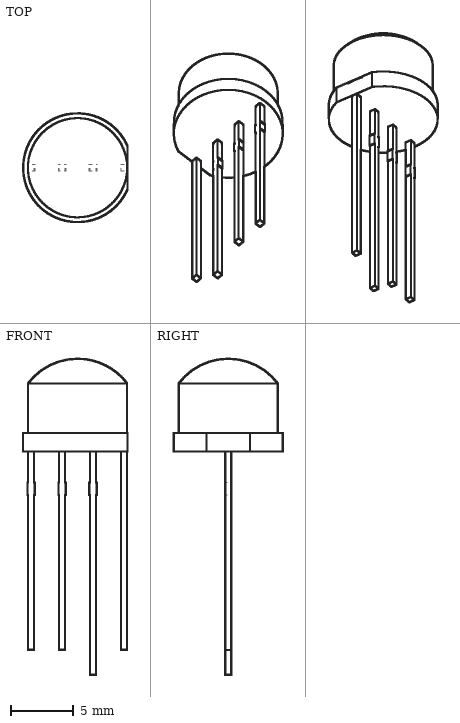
import cadquery as cq

body_diameter = 8.0
body_radius = body_diameter / 2
flange_diameter = 8.8
flat_offset = 4.03
flange_height = 1.5
barrel_height = 4.0
dome_height = 2.0

lead_width = 0.5
lead_pitch = 2.5
lead_count = 4
short_lead_length = 16.0
long_lead_length = 18.0
long_lead_index = 2

stop_width = 0.6
stop_height = 1.02
stop_depth = 2.5
stop_lead_indices = (0, 1, 2)


def make_flange():
    """Round flange with a flat on the +X side."""
    disc = cq.Workplane("XY").circle(flange_diameter / 2).extrude(flange_height)
    cutter = cq.Workplane("XY").box(
        flange_diameter, 2 * flange_diameter, 2 * flange_height
    ).translate((flat_offset + flange_diameter / 2, 0, 0))
    return disc.cut(cutter)


def make_lens():
    """Barrel closed by a spherical cap, revolved about Z."""
    shoulder_z = flange_height + barrel_height
    top_z = shoulder_z + dome_height
    cap_radius = (body_radius**2 + dome_height**2) / (2 * dome_height)
    cap_center_z = top_z - cap_radius
    arc_x = body_radius / 2
    arc_z = cap_center_z + (cap_radius**2 - arc_x**2) ** 0.5
    return (
        cq.Workplane("XZ")
        .lineTo(body_radius, 0)
        .lineTo(body_radius, shoulder_z)
        .threePointArc((arc_x, arc_z), (0, top_z))
        .close()
        .revolve(360, (0, 0, 0), (0, 1, 0))
    )


def make_lead(index):
    """One lead hanging below the flange, with its stop if it has one."""
    x = (index - (lead_count - 1) / 2) * lead_pitch
    length = long_lead_length if index == long_lead_index else short_lead_length
    lead = cq.Workplane("XY").center(x, 0).rect(lead_width, lead_width).extrude(-length)
    if index in stop_lead_indices:
        stop = (
            cq.Workplane("XY", origin=(x, 0, -stop_depth))
            .rect(stop_width, lead_width)
            .extrude(-stop_height)
        )
        lead = lead.union(stop)
    return lead


result = make_flange().union(make_lens())
for lead_index in range(lead_count):
    result = result.union(make_lead(lead_index))